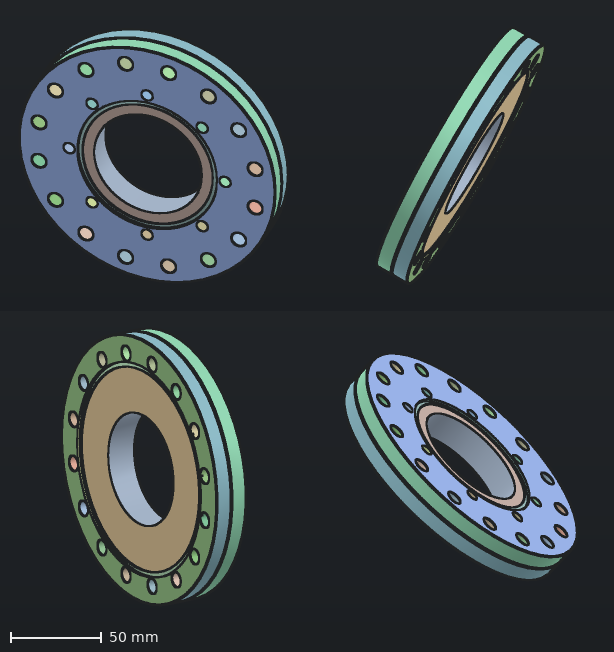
import cadquery as cq
import math

outer_diameter = 151.6
thickness = 19.8
bore_diameter = 63.5
edge_chamfer = 0.5

groove_width = 1.2
groove_depth = 0.25

front_recess_diameter = 82.5
back_recess_diameter = 120.6
knife_ring_width = 2.75
knife_tip_depth = 0.7
knife_slope_degrees = 20.0
knife_wall_lean = 0.15
seat_depth = 1.2

bolt_hole_diameter = 8.4
bolt_circle_diameter = 130.2
bolt_hole_count = 16
bolt_hole_chamfer = 0.25

tap_hole_diameter = 6.65
tap_circle_diameter = 92.1
tap_hole_count = 8
tap_hole_depth = 12.0
drill_point_degrees = 118.0

outer_radius = outer_diameter / 2
bore_radius = bore_diameter / 2
front_y = -thickness / 2
back_y = thickness / 2


def revolve_about_y(points):
    """Turn a closed (radius, y) outline around the Y axis."""
    return cq.Workplane("XY").polyline(points).close().revolve(360, (0, 0, 0), (0, 1, 0))


def make_disc():
    outline = (
        cq.Workplane("XY")
        .moveTo(bore_radius, front_y)
        .lineTo(outer_radius - edge_chamfer, front_y)
        .lineTo(outer_radius, front_y + edge_chamfer)
        .lineTo(outer_radius, -groove_width / 2)
        .threePointArc((outer_radius - groove_depth, 0), (outer_radius, groove_width / 2))
        .lineTo(outer_radius, back_y - edge_chamfer)
        .lineTo(outer_radius - edge_chamfer, back_y)
        .lineTo(bore_radius, back_y)
        .close()
    )
    return outline.revolve(360, (0, 0, 0), (0, 1, 0))


def make_seal_recess(recess_diameter):
    """Cutter for a recess in the -Y face that leaves a knife edge around a flat seat."""
    recess_radius = recess_diameter / 2
    knife_radius = recess_radius - knife_ring_width
    knife_tip_y = front_y + knife_tip_depth
    slope_drop = knife_ring_width * math.tan(math.radians(knife_slope_degrees))
    seat_y = front_y + seat_depth
    return revolve_about_y([
        (0, front_y),
        (recess_radius, front_y),
        (recess_radius, knife_tip_y + slope_drop),
        (knife_radius, knife_tip_y),
        (knife_radius - knife_wall_lean, seat_y),
        (0, seat_y),
    ])


def place_on_circle(tool, circle_diameter, count, first_angle):
    """Copy a tool lying on the Y axis to equally spaced places around that axis."""
    first = tool.translate((circle_diameter / 2, 0, 0))
    copies = cq.Workplane("XY")
    for index in range(count):
        angle = first_angle + index * 360 / count
        copies = copies.add(first.rotate((0, 0, 0), (0, 1, 0), angle))
    return copies.combine()


def make_bolt_holes():
    radius = bolt_hole_diameter / 2
    drill = revolve_about_y([
        (0, front_y),
        (radius + bolt_hole_chamfer, front_y),
        (radius, front_y + bolt_hole_chamfer),
        (radius, back_y - bolt_hole_chamfer),
        (radius + bolt_hole_chamfer, back_y),
        (0, back_y),
    ])
    half_pitch = 180 / bolt_hole_count
    return place_on_circle(drill, bolt_circle_diameter, bolt_hole_count, half_pitch)


def make_tap_holes():
    radius = tap_hole_diameter / 2
    point_length = radius / math.tan(math.radians(drill_point_degrees / 2))
    shoulder_y = front_y + tap_hole_depth
    drill = revolve_about_y([
        (0, front_y),
        (radius, front_y),
        (radius, shoulder_y),
        (0, shoulder_y + point_length),
    ])
    return place_on_circle(drill, tap_circle_diameter, tap_hole_count, 0)


front_recess = make_seal_recess(front_recess_diameter)
back_recess = make_seal_recess(back_recess_diameter).mirror("XZ")

result = (
    make_disc()
    .cut(front_recess)
    .cut(back_recess)
    .cut(make_bolt_holes())
    .cut(make_tap_holes())
)